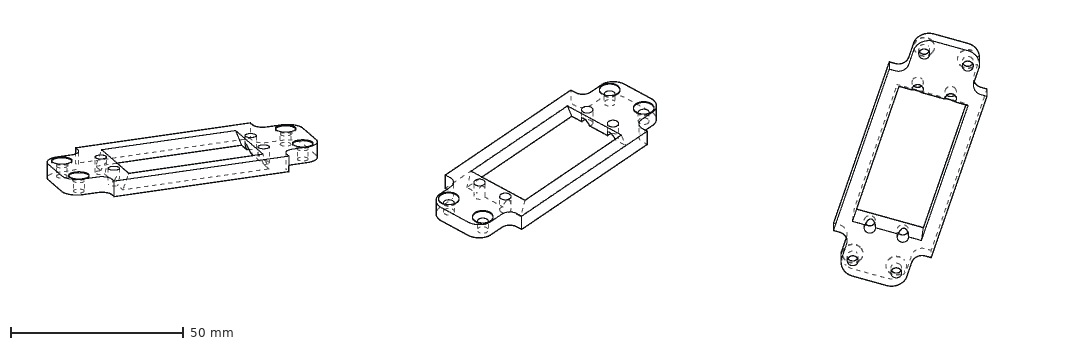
import cadquery as cq

length = 79.7
width = 29.7
thickness = 4.9
body_length = 54.75
tab_width = 19.85
tab_corner_span = 19.9
tab_corner_radius = 4.8
shoulder_radius = 3.1

window_width = 21.0
window_length = 42.0
window_bottom_length = 45.75

tab_hole_spacing_x = 13.2
tab_hole_spacing_y = 70.1
tab_hole_diameter = 3.2
countersink_diameter = 6.0
countersink_lip = 0.3
countersink_angle = 90.0

inner_hole_spacing_x = 10.05
inner_hole_spacing_y = 46.95
inner_hole_diameter = 3.3


def make_plate():
    """Body and tabs, with rounded tab ends and concave shoulders."""
    body = cq.Workplane("XY").box(width, body_length, thickness, centered=(True, True, False))
    tabs = (
        cq.Workplane("XY")
        .box(tab_corner_span, length, thickness, centered=(True, True, False))
        .edges("|Z")
        .fillet(tab_corner_radius)
    )
    trim = cq.Workplane("XY").box(tab_width, length, thickness, centered=(True, True, False))
    tabs = tabs.intersect(trim)
    shoulder_x = tab_width / 2
    shoulder_y = body_length / 2
    pick = 0.1
    plate = body.union(tabs)
    for side_x in (-1, 1):
        for side_y in (-1, 1):
            x = side_x * shoulder_x
            y = side_y * shoulder_y
            corner = cq.selectors.BoxSelector(
                (x - pick, y - pick, -pick),
                (x + pick, y + pick, thickness + pick),
            )
            plate = plate.edges("|Z").edges(corner).fillet(shoulder_radius)
    return plate


def cut_window(plate):
    """Window with upright sides and undercut end walls."""
    window = (
        cq.Workplane("YZ")
        .polyline(
            [
                (-window_bottom_length / 2, 0),
                (window_bottom_length / 2, 0),
                (window_length / 2, thickness),
                (-window_length / 2, thickness),
            ]
        )
        .close()
        .extrude(window_width / 2, both=True)
    )
    return plate.cut(window)


def cut_tab_holes(plate):
    """Countersunk holes whose cones start below a short straight lip."""
    plate = (
        plate.faces(">Z")
        .workplane(origin=(0, 0, thickness))
        .rarray(tab_hole_spacing_x, tab_hole_spacing_y, 2, 2)
        .hole(countersink_diameter, countersink_lip)
    )
    return (
        plate.faces(">Z")
        .workplane(offset=-countersink_lip, origin=(0, 0, thickness))
        .rarray(tab_hole_spacing_x, tab_hole_spacing_y, 2, 2)
        .cskHole(tab_hole_diameter, countersink_diameter, countersink_angle)
    )


def cut_inner_holes(plate):
    """Through holes that break into the sloping end walls of the window."""
    holes = (
        cq.Workplane("XY")
        .rarray(inner_hole_spacing_x, inner_hole_spacing_y, 2, 2)
        .circle(inner_hole_diameter / 2)
        .extrude(thickness)
    )
    return plate.cut(holes)


result = cut_inner_holes(cut_tab_holes(cut_window(make_plate())))